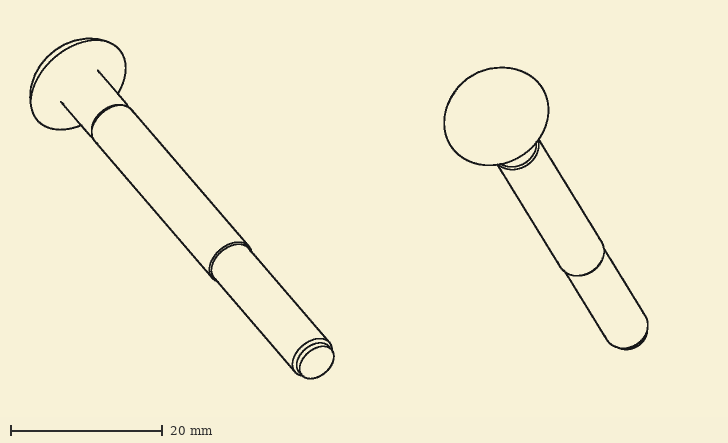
import cadquery as cq
import math

total_length = 68.2
dome_end = 2.7
head_end = 3.15
neck_fillet = 0.2
groove_start = 11.1
groove_bottom = 12.15
groove_end = 12.55
body_end = 44.7
body_chamfer_length = 0.2
tail_end = 67.0
tip_start = 67.4

head_radius = 7.15
dome_edge_radius = 7.0
shank_radius = 3.2
crown_radius = shank_radius
groove_radius = 3.0
tail_radius = 3.0
tip_radius = 2.6

dome_rise = dome_edge_radius - crown_radius
dome_arc_radius = (dome_end**2 + dome_rise**2) / (2 * dome_end)
half_sweep = math.asin(dome_rise / dome_arc_radius) / 2
dome_middle = (
    dome_arc_radius * (1 - math.cos(half_sweep)),
    crown_radius + dome_arc_radius * math.sin(half_sweep),
)

fillet_inset = neck_fillet * (1 - math.sqrt(0.5))
neck_middle = (head_end + fillet_inset, shank_radius + fillet_inset)

profile = (
    cq.Workplane("XY")
    .lineTo(0, crown_radius)
    .threePointArc(dome_middle, (dome_end, dome_edge_radius))
    .lineTo(head_end, head_radius)
    .lineTo(head_end, shank_radius + neck_fillet)
    .threePointArc(neck_middle, (head_end + neck_fillet, shank_radius))
    .lineTo(groove_start, shank_radius)
    .lineTo(groove_bottom, groove_radius)
    .lineTo(groove_end, shank_radius)
    .lineTo(body_end, shank_radius)
    .lineTo(body_end + body_chamfer_length, tail_radius)
    .lineTo(tail_end, tail_radius)
    .lineTo(tip_start, tip_radius)
    .lineTo(total_length, tip_radius)
    .lineTo(total_length, 0)
    .close()
)

result = profile.revolve(360, (0, 0, 0), (1, 0, 0))